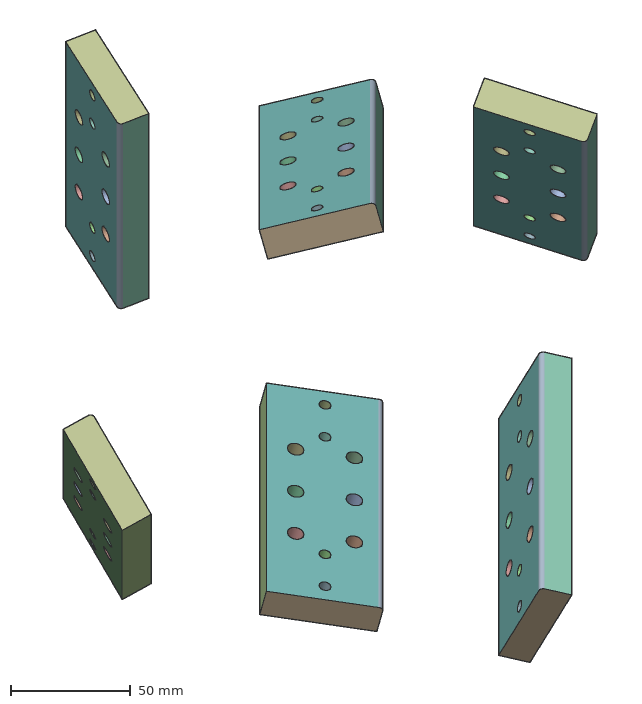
import cadquery as cq

width = 50.0
thickness = 14.0
height = 124.0
edge_radius = 2.0
tilt_angle = 1.05

mounting_diameter = 7.0
mounting_pitch = 25.0

small_diameter = 5.0
outer_offset = 54.0
inner_offset = 35.0


def plate_body():
    """Upright plate with one rounded vertical edge at the front right."""
    plate = cq.Workplane("XY").box(width, thickness, height)
    return plate.edges("|Z and >X and <Y").fillet(edge_radius)


def through_holes(points, diameter):
    """Cylinders through the plate thickness at the given (x, z) points."""
    return (
        cq.Workplane("XZ")
        .pushPoints(points)
        .circle(diameter / 2)
        .extrude(thickness, both=True)
    )


mounting_points = [
    (column * mounting_pitch / 2, row * mounting_pitch)
    for column in (-1, 1)
    for row in (-1, 0, 1)
]
small_points = [
    (0, side * offset)
    for side in (-1, 1)
    for offset in (inner_offset, outer_offset)
]

plate = plate_body()
plate = plate.cut(through_holes(mounting_points, mounting_diameter))
plate = plate.cut(through_holes(small_points, small_diameter))

result = plate.rotate((0, 0, 0), (0, 0, 1), tilt_angle)